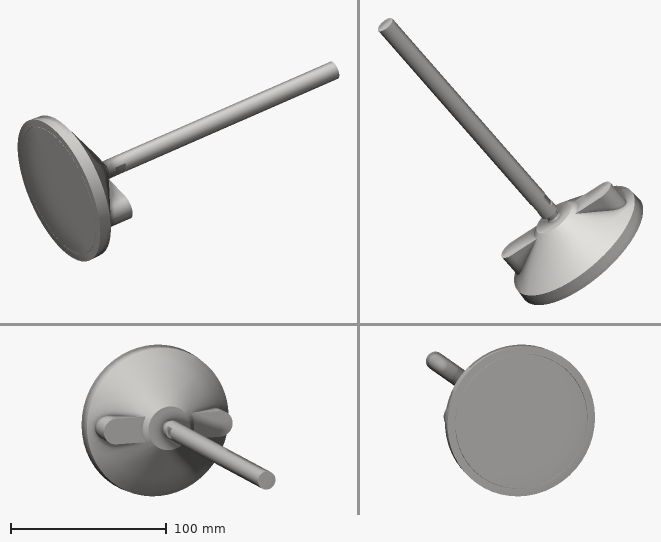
import cadquery as cq

total_length = 210.0

base_diameter = 98.0
rim_top_diameter = 97.0
rim_height = 8.5
cone_top_diameter = 28.5
base_height = 30.0

pad_diameter = 87.5
recess_diameter = 88.0
groove_depth = 2.0

lug_length = 88.0
lug_width = 16.8
lug_top = 28.0

spindle_diameter = 12.0
spindle_start = 34.9
neck_diameter = 7.8
neck_start = 31.0
neck_root_diameter = 9.9

flats_distance = 9.5
flats_start = 40.0
flats_length = 7.8


def xz_plane(y):
    """Sketch plane at height y along the axis, extruding toward +Y."""
    return cq.Workplane(cq.Plane(origin=(0, y, 0), xDir=(1, 0, 0), normal=(0, 1, 0)))


def revolved_body():
    """Base cone, neck and spindle from one half-profile."""
    return (
        cq.Workplane("XY")
        .moveTo(0, 0)
        .lineTo(base_diameter / 2, 0)
        .lineTo(rim_top_diameter / 2, rim_height)
        .lineTo(cone_top_diameter / 2, base_height)
        .lineTo(neck_root_diameter / 2, base_height)
        .lineTo(neck_diameter / 2, neck_start)
        .lineTo(neck_diameter / 2, spindle_start)
        .lineTo(spindle_diameter / 2, spindle_start)
        .lineTo(spindle_diameter / 2, total_length)
        .lineTo(0, total_length)
        .close()
        .revolve(360, (0, 0, 0), (0, 1, 0))
    )


def lug_bar():
    """Bar with full-round ends, standing on the rim inside the cone."""
    return xz_plane(rim_height).slot2D(lug_length, lug_width).extrude(lug_top - rim_height)


def pad_groove():
    return xz_plane(0).circle(recess_diameter / 2).circle(pad_diameter / 2).extrude(groove_depth)


def wrench_flat(side):
    """Block that cuts one flat; side is -1 or +1 along X."""
    cutter_size = spindle_diameter
    center_x = side * (flats_distance + cutter_size) / 2
    return xz_plane(flats_start).center(center_x, 0).rect(cutter_size, cutter_size).extrude(flats_length)


result = revolved_body().union(lug_bar()).cut(pad_groove())
for side in (-1, 1):
    result = result.cut(wrench_flat(side))